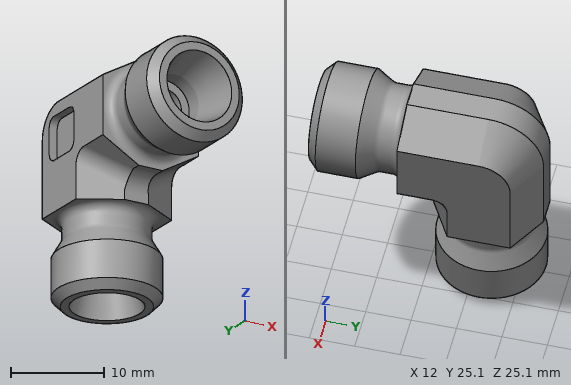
import cadquery as cq
import math

end_diameter = 12.0
end_radius = end_diameter / 2
overall_length = 25.05
flat_reach = 6.06
leg_length = overall_length - flat_reach

body_reach = 9.0
flat_half_width = 1.5
bevel_angle = math.radians(30)
bevel_drop = (end_radius - flat_half_width) * math.tan(bevel_angle)
side_half_height = flat_reach - bevel_drop
inner_fillet = 2.0

neck_radius = 9.7 / 2
neck_fillet = 1.0
shoulder_end = 13.58
shoulder_angle = math.radians(30)
shoulder_start = shoulder_end - (end_radius - neck_radius) / math.tan(shoulder_angle)
blend_tangent = neck_fillet * math.tan(shoulder_angle / 2)
end_chamfer = 1.0

bore_radius = 4 / 2
tube_radius = 6.0 / 2
mouth_radius = 4.05
socket_depth = 7.0
cone_half_angle = math.radians(12)
cone_depth = (mouth_radius - tube_radius) / math.tan(cone_half_angle)
drill_half_angle = math.radians(59)
drill_tip = bore_radius / math.tan(drill_half_angle)

recess_size = 5.05
recess_radius = 1.0
recess_depth = 1.0
recess_offset = -0.5


def both_legs(down_leg):
    """Join a leg pointing to -Z with its half-turn copy pointing to -Y."""
    return down_leg.union(down_leg.rotate((0, 0, 0), (0, 1, 1), 180))


def crook_cutter(reach, slope):
    """Rounded square prism clearing the crook beyond Y = Z = -(reach - slope * X)."""
    near_left = -(reach + slope * end_radius)
    far_left = near_left - 2 * body_reach
    corners = [(near_left, near_left), (near_left, far_left), (far_left, far_left), (far_left, near_left)]
    square = cq.Workplane("YZ", origin=(-end_radius, 0, 0)).polyline(corners).close().val()
    run = cq.Vector(1, slope, slope) * end_diameter
    prism = cq.Workplane(cq.Solid.extrudeLinear(square, [], run))
    return prism.edges(">(0, 1, 1)").fillet(inner_fillet)


def make_body():
    outer_half = [
        (-end_radius, side_half_height),
        (-flat_half_width, flat_reach),
        (flat_half_width, flat_reach),
        (end_radius, side_half_height),
    ]
    crook_side = [(end_radius, -body_reach), (-end_radius, -body_reach)]
    leg = cq.Workplane("XY").polyline(outer_half + crook_side).close().extrude(-body_reach)

    corner = (
        cq.Workplane("XY")
        .polyline([(-end_radius, 0)] + outer_half + [(end_radius, 0)])
        .close()
        .revolve(90, (0, 0, 0), (1, 0, 0))
    )
    body = both_legs(leg).union(corner).clean()

    bevel_slope = math.tan(bevel_angle)
    bevel_reach = flat_reach + flat_half_width * bevel_slope
    body = body.cut(crook_cutter(flat_reach, 0))
    body = body.cut(crook_cutter(bevel_reach, bevel_slope))
    return body.cut(crook_cutter(bevel_reach, -bevel_slope))


def make_spigot():
    neck_start = body_reach + neck_fillet
    arc_offset = neck_fillet * (1 - math.sqrt(0.5))
    blend_end_radius = neck_radius + blend_tangent * math.sin(shoulder_angle)
    blend_end = shoulder_start + blend_tangent * math.cos(shoulder_angle)
    blend_mid_radius = neck_radius + neck_fillet * (1 - math.cos(shoulder_angle / 2))
    blend_mid = shoulder_start - blend_tangent + neck_fillet * math.sin(shoulder_angle / 2)
    return (
        cq.Workplane("XZ")
        .moveTo(0, -body_reach)
        .lineTo(neck_radius + neck_fillet, -body_reach)
        .threePointArc(
            (neck_radius + arc_offset, -body_reach - arc_offset),
            (neck_radius, -neck_start),
        )
        .lineTo(neck_radius, -shoulder_start + blend_tangent)
        .threePointArc((blend_mid_radius, -blend_mid), (blend_end_radius, -blend_end))
        .lineTo(end_radius, -shoulder_end)
        .lineTo(end_radius, -leg_length + end_chamfer)
        .lineTo(end_radius - end_chamfer, -leg_length)
        .lineTo(0, -leg_length)
        .close()
        .revolve(360, (0, 0, 0), (0, 1, 0))
    )


def make_bore():
    """Tapered mouth, tube socket and drilled bore with a conical tip past the axis."""
    outline = [
        (0, drill_tip),
        (bore_radius, 0),
        (bore_radius, -leg_length + socket_depth),
        (tube_radius, -leg_length + socket_depth),
        (tube_radius, -leg_length + cone_depth),
        (mouth_radius, -leg_length),
        (0, -leg_length),
    ]
    return cq.Workplane("XZ").polyline(outline).close().revolve(360, (0, 0, 0), (0, 1, 0))


def make_recess():
    return (
        cq.Workplane("YZ", origin=(-end_radius, 0, 0))
        .center(recess_offset, recess_offset)
        .rect(recess_size, recess_size)
        .extrude(recess_depth)
        .edges("|X")
        .fillet(recess_radius)
    )


result = (
    make_body()
    .union(both_legs(make_spigot()))
    .cut(both_legs(make_bore()))
    .cut(make_recess())
)